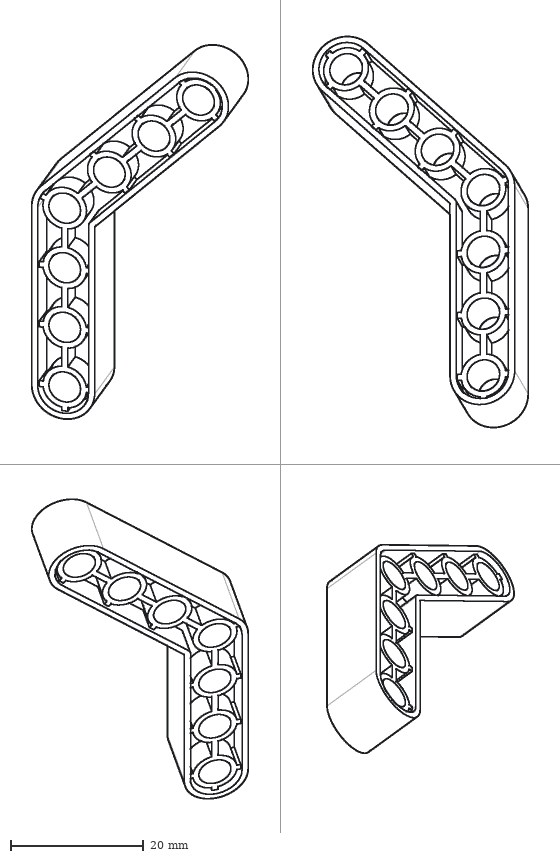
import cadquery as cq
import math

overall_height = 61.2
arm_angle = 45.0
steps_per_arm = 3
hole_diameter = 5.0
boss_diameter = 6.9
wall = 1.0
boss_recess = 0.8

lean = math.radians(arm_angle)
pitch = overall_height / (1 + steps_per_arm * (1 + math.cos(lean)))
width = pitch
thickness = pitch
arm_length = steps_per_arm * pitch
core_thickness = thickness - 2 * boss_recess
tab_reach = (width - wall) / 2

LOWER_ARM = -90.0
UPPER_ARM = 90.0 - arm_angle
INNER_BEND = (UPPER_ARM + LOWER_ARM) / 2
OUTER_BEND = INNER_BEND + 180.0


def along(direction, distance, start=(0.0, 0.0)):
    """XZ point at a distance from the start, which is the bend hole unless given."""
    angle = math.radians(direction)
    return (start[0] + distance * math.cos(angle), start[1] + distance * math.sin(angle))


def plane(depth):
    """XZ plane from which an extrusion of this depth is centred on Y = 0."""
    return cq.Workplane("XZ", origin=(0, depth / 2, 0))


def disc(center, diameter, depth):
    """Round plug along Y."""
    return plane(depth).center(*center).circle(diameter / 2).extrude(depth)


def rib(start, direction, length):
    """Straight rib of core thickness running from a boss centre."""
    corners = []
    for distance, side in ((0, 90), (length, 90), (length, -90), (0, -90)):
        middle = along(direction, distance, start)
        corners.append(along(direction + side, wall / 2, middle))
    return plane(core_thickness).polyline(corners).close().extrude(core_thickness)


def beam_outline(depth):
    """Bent outline with round ends, a round outer bend and a sharp inner bend."""
    radius = width / 2
    half_bend = math.radians(UPPER_ARM - INNER_BEND)
    lower_end = along(LOWER_ARM, arm_length)
    upper_end = along(UPPER_ARM, arm_length)
    return (
        plane(depth)
        .moveTo(*along(INNER_BEND, radius / math.sin(half_bend)))
        .lineTo(*along(UPPER_ARM - 90, radius, upper_end))
        .threePointArc(along(UPPER_ARM, radius, upper_end), along(UPPER_ARM + 90, radius, upper_end))
        .lineTo(*along(UPPER_ARM + 90, radius))
        .threePointArc(along(OUTER_BEND, radius), along(LOWER_ARM - 90, radius))
        .lineTo(*along(LOWER_ARM - 90, radius, lower_end))
        .threePointArc(along(LOWER_ARM, radius, lower_end), along(LOWER_ARM + 90, radius, lower_end))
        .close()
    )


cavity = beam_outline(thickness).offset2D(-wall).extrude(thickness)
rim = beam_outline(thickness).extrude(thickness).cut(cavity)

web = beam_outline(wall).offset2D(-wall / 2).extrude(wall)

bend_center = (0.0, 0.0)
hole_centers = [bend_center]
core = disc(bend_center, boss_diameter, core_thickness)
core = core.union(rib(bend_center, OUTER_BEND, tab_reach))
for arm in (LOWER_ARM, UPPER_ARM):
    core = core.union(rib(bend_center, arm, arm_length + tab_reach))
    for step in range(1, steps_per_arm + 1):
        center = along(arm, step * pitch)
        hole_centers.append(center)
        core = core.union(disc(center, boss_diameter, core_thickness))
        for side in (-90, 90):
            core = core.union(rib(center, arm + side, tab_reach))

result = rim.union(web).union(core)

for center in hole_centers:
    result = result.cut(disc(center, hole_diameter, thickness))